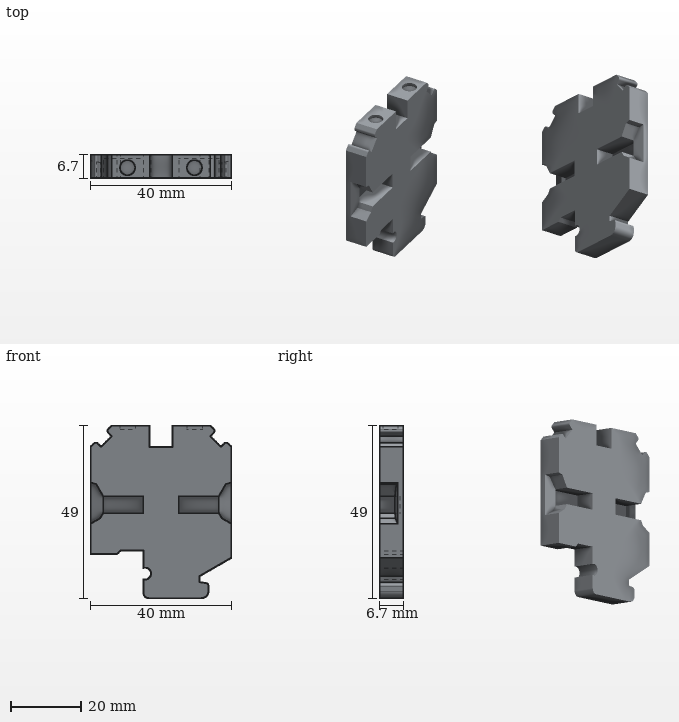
import cadquery as cq
import math

width = 40.0
thickness = 6.7
height = 49.0
half_width = width / 2
overcut = 1.0
pick_margin = 0.1

channel_width = 6.5
channel_depth = 6.0

tower_half_width = 14.0
groove_run = 3.0
lip_base = 3.0
lip_radius = 0.7

left_bottom_z = 12.5
left_ledge_step = 1.0
left_ledge_x = -12.5

foot_left_x = -5.0
foot_right_x = 13.5
foot_left_radius = 1.5
foot_right_radius = 2.0
rail_notch_x = -4.5
rail_notch_z = 7.0
rail_notch_radius = 1.65

hook_root_x = 10.95
hook_root_z = 4.6
hook_slope = math.radians(8)
hook_radius = 0.9
hook_throat_z = 6.25
underside_slope = math.radians(30)

slot_inner_x = 5.05
slot_outer_x = 16.4
slot_bottom_z = 24.2
slot_top_z = 28.95
slot_depth = 5.65
funnel_inner_depth = 4.3
funnel_outer_depth = 5.1
funnel_steep_slope = math.radians(60)
funnel_upper_slope = math.radians(15)
funnel_lower_slope = math.radians(30)
funnel_upper_break_x = 18.4
funnel_lower_break_x = 17.25

screw_diameter = 4.3
screw_depth = 1.0
screw_x = 9.5
screw_y = 3.0


def prism(points, depth=thickness):
    """Extrude a closed XZ outline from the front face toward +Y."""
    return cq.Workplane("XZ").polyline(points).close().extrude(-depth)


def round_edges(body, places, radius):
    """Fillet the edges parallel to Y that pass through the given (x, z) places."""
    for x, z in places:
        edge = cq.selectors.BoxSelector(
            (x - pick_margin, -overcut, z - pick_margin),
            (x + pick_margin, thickness + overcut, z + pick_margin),
        )
        body = body.edges(edge).fillet(radius)
    return body


def corner_outline():
    """Right corner from the tower top to the side wall: lip, groove, lip."""
    lip_reach = lip_base / 2
    upper_z = height - lip_base
    lower_z = upper_z - groove_run
    groove_end_x = tower_half_width + groove_run
    return [
        (tower_half_width, height),
        (tower_half_width + lip_reach, height - lip_reach),
        (tower_half_width, upper_z),
        (groove_end_x, lower_z),
        (groove_end_x + lip_reach, lower_z + lip_reach),
        (half_width, lower_z),
    ]


def make_plate():
    right_corner = corner_outline()
    left_corner = [(-x, z) for x, z in reversed(right_corner)]
    ledge_z = left_bottom_z + left_ledge_step
    underside_rise = (half_width - hook_root_x) * math.tan(underside_slope)
    hook_tip_z = hook_root_z - (foot_right_x - hook_root_x) * math.tan(hook_slope)

    outline = left_corner + right_corner + [
        (half_width, hook_throat_z + underside_rise),
        (hook_root_x, hook_throat_z),
        (hook_root_x, hook_root_z),
        (foot_right_x, hook_tip_z),
        (foot_right_x, 0),
        (foot_left_x, 0),
        (foot_left_x, ledge_z),
        (left_ledge_x + left_ledge_step, ledge_z),
        (left_ledge_x, left_bottom_z),
        (-half_width, left_bottom_z),
    ]
    plate = prism(outline)

    lip_tips = [right_corner[1], right_corner[4], left_corner[1], left_corner[4]]
    plate = round_edges(plate, lip_tips, lip_radius)
    plate = round_edges(plate, [(foot_left_x, 0)], foot_left_radius)
    plate = round_edges(plate, [(foot_right_x, 0)], foot_right_radius)
    return round_edges(plate, [(foot_right_x, hook_tip_z)], hook_radius)


def top_channel():
    return (
        cq.Workplane("XY")
        .box(channel_width, thickness, channel_depth, centered=(True, False, False))
        .translate((0, 0, height - channel_depth))
    )


def rail_notch():
    return (
        cq.Workplane("XZ")
        .center(rail_notch_x, rail_notch_z)
        .circle(rail_notch_radius)
        .extrude(-thickness)
    )


def wire_slot():
    """Blind slot on the right half, open to the front face."""
    length = slot_outer_x - slot_inner_x
    slot_height = slot_top_z - slot_bottom_z
    return (
        cq.Workplane("XY")
        .box(length, slot_depth, slot_height, centered=False)
        .translate((slot_inner_x, 0, slot_bottom_z))
    )


def wire_funnel():
    """Flared mouth on the right half; its floor deepens toward the side wall."""
    upper_break_z = slot_top_z + (funnel_upper_break_x - slot_outer_x) * math.tan(funnel_steep_slope)
    lower_break_z = slot_bottom_z - (funnel_lower_break_x - slot_outer_x) * math.tan(funnel_steep_slope)
    mouth_top_z = upper_break_z + (half_width - funnel_upper_break_x) * math.tan(funnel_upper_slope)
    mouth_bottom_z = lower_break_z - (half_width - funnel_lower_break_x) * math.tan(funnel_lower_slope)

    flare = prism([
        (slot_outer_x, slot_bottom_z),
        (slot_outer_x, slot_top_z),
        (funnel_upper_break_x, upper_break_z),
        (half_width, mouth_top_z),
        (half_width, mouth_bottom_z),
        (funnel_lower_break_x, lower_break_z),
    ])
    sloped_floor = (
        cq.Workplane("XY")
        .polyline([
            (slot_outer_x, 0),
            (half_width, 0),
            (half_width, funnel_outer_depth),
            (slot_outer_x, funnel_inner_depth),
        ])
        .close()
        .extrude(height)
    )
    return flare.intersect(sloped_floor)


def screw_holes():
    return (
        cq.Workplane("XY", origin=(0, screw_y, height - screw_depth))
        .pushPoints([(-screw_x, 0), (screw_x, 0)])
        .circle(screw_diameter / 2)
        .extrude(screw_depth + overcut)
    )


result = make_plate().cut(top_channel()).cut(rail_notch()).cut(screw_holes())
for entry in (wire_slot(), wire_funnel()):
    result = result.cut(entry).cut(entry.mirror("YZ"))